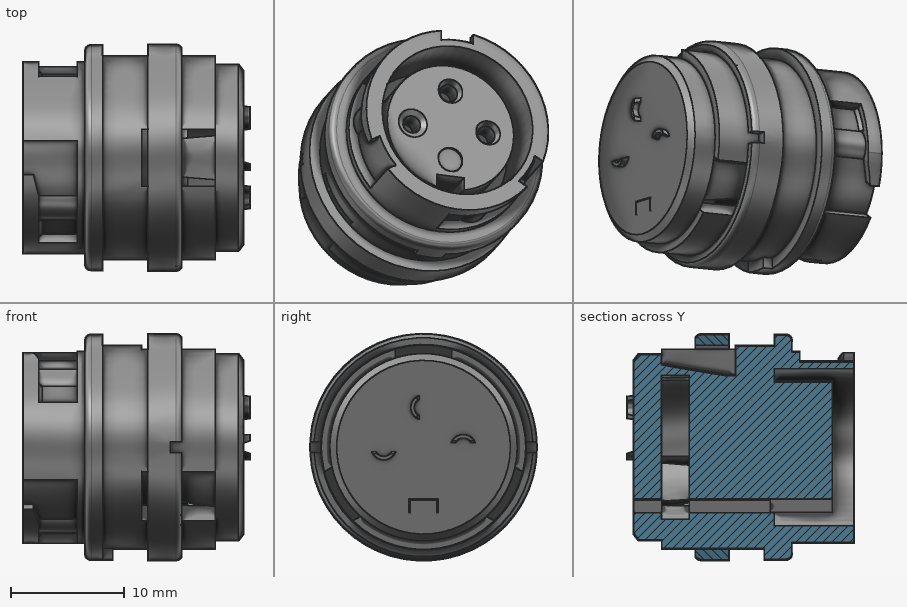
import cadquery as cq
import math

TOP = 90
STATIONS = [TOP, TOP + 120, TOP + 240]

GROOVE_FRONT_X = 1.4
GROOVE_REAR_X = 4.78
FLANGE_FRONT_X = 5.45
FLANGE_REAR_X = 7.02
WINDOW_FRONT_X = 10.45
NUT_FRONT_X = 11.0
NUT_REAR_X = 14.0
SHELL_REAR_X = 16.95
CAP_REAR_X = 19.45
OVERALL_LENGTH = 20.0

BARREL_R = 16.95 / 2
FLANGE_R = 19.9 / 2
FLANGE_FILLET = 0.55
THREAD_R = 18.0 / 2
BORE_R = 14.0 / 2
BORE_DEPTH = FLANGE_REAR_X
LUG_LENGTH = 0.9
LUG_WIDTH = 2.6

GROOVE_FLOOR_R = 7.62
ENTRY_WIDTH = 2.98
LEAD_IN_X = 0.92
LEAD_IN_END_ANGLE = 23.4
GROOVE_END_ANGLE = 62.0
DETENT_R = 1.72
DETENT_PEAK_R = 8.05
DETENT_ANGLE = 35.6
CORNER_CHAMFER = 0.3
CHAMFER_START_ANGLE = 45.2

WINDOW_WIDTH = 5.0
WINDOW_FLOOR_R = 6.42
CHAMBER_FRONT_X = 14.52
LATCH_FRONT_X = 11.2
LATCH_FRONT_R = WINDOW_FLOOR_R
LATCH_REAR_R = 7.38
LATCH_FRONT_WIDTH = 2.95
LATCH_REAR_WIDTH = 3.88

INSERT_R = 11.75 / 2
INSERT_FRONT_X = 1.9
CAP_R = 16.5 / 2
CAP_CHAMFER_LENGTH = 0.45
CAP_CHAMFER_DEPTH = 0.6
CONTACT_CIRCLE_R = 3.5
CONTACT_HOLE_R = 1.6 / 2
CONTACT_HOLE_DEPTH = 2.4
COUNTERSINK = (2.25 / 2, 0.52)
WIDE_COUNTERSINK = (2.65 / 2, 0.32)
CONTACTS = [(0, WIDE_COUNTERSINK), (90, COUNTERSINK), (180, COUNTERSINK)]
PAD_R = 2.25 / 2
PAD_DEPTH = 0.2
PAD_Z = -3.0
KEYWAY_WIDTH = 2.52
KEYWAY_TOP_Z = -4.58
KEY_GAP = 0.08
KEY_FRONT_X = 7.4

CUP_R = 2.25 / 2
CUP_BORE_R = 1.6 / 2
CUP_EDGE_FRONT = 0.38
CUP_EDGE_REAR = 0.55

NUT_R = 20.0 / 2
NUT_BORE_R = 18.1 / 2
NUT_ROUND_LENGTH = 0.55
NUT_ROUND_DROP = 0.35
NOTCH_WIDTH = 1.0
NOTCH_LENGTH = 1.05


def turn(shape, angle):
    """Rotate a shape about the connector axis."""
    return shape.rotate((0, 0, 0), (1, 0, 0), angle)


def disc(radius, x_front, x_rear, y=0.0, z=0.0):
    """Cylinder parallel to X, with its axis at (y, z)."""
    return cq.Workplane("YZ", origin=(x_front, 0, 0)).center(y, z).circle(radius).extrude(x_rear - x_front)


def block(x_front, x_rear, width, z_low, z_high):
    """Box centred on y = 0."""
    length = x_rear - x_front
    return cq.Workplane("XY", origin=(x_front, 0, z_low)).box(
        length, width, z_high - z_low, centered=(False, True, False)
    )


def swept_sector(profile, start_angle, end_angle):
    """Revolve an (x, radius) profile about X between two angles."""
    sector = cq.Workplane("XY").polyline(profile).close()
    sector = sector.revolve(end_angle - start_angle, (0, 0, 0), (1, 0, 0))
    return turn(sector, start_angle)


def on_circle(radius, angle):
    return radius * math.cos(math.radians(angle)), radius * math.sin(math.radians(angle))


def shell_blank():
    barrel = disc(BARREL_R, 0, FLANGE_REAR_X)
    flange = disc(FLANGE_R, FLANGE_FRONT_X, FLANGE_REAR_X).faces("<X").edges().fillet(FLANGE_FILLET)
    thread = disc(THREAD_R, FLANGE_REAR_X, SHELL_REAR_X)
    lug_rear = FLANGE_REAR_X + LUG_LENGTH
    lug = disc(FLANGE_R, FLANGE_REAR_X, lug_rear).intersect(
        block(FLANGE_REAR_X, lug_rear, LUG_WIDTH, -FLANGE_R, 0)
    )
    return barrel.union(flange).union(thread).union(lug)


def bayonet_groove():
    """Cutter for the top groove: straight entry, sloped lead-in, then a run to the end stop."""
    entry = block(0, GROOVE_REAR_X, ENTRY_WIDTH, 0, FLANGE_R)
    lead_in_y = on_circle(BARREL_R, TOP + LEAD_IN_END_ANGLE)[0]
    lead_in = (
        cq.Workplane("XY")
        .polyline([
            (LEAD_IN_X, -ENTRY_WIDTH / 2),
            (GROOVE_FRONT_X, lead_in_y),
            (GROOVE_REAR_X, lead_in_y),
            (GROOVE_REAR_X, -ENTRY_WIDTH / 2),
        ])
        .close()
        .extrude(FLANGE_R)
    )
    run = swept_sector(
        [(GROOVE_FRONT_X, 0), (GROOVE_REAR_X, 0), (GROOVE_REAR_X, FLANGE_R), (GROOVE_FRONT_X, FLANGE_R)],
        TOP,
        TOP + GROOVE_END_ANGLE,
    )
    detent_y, detent_z = on_circle(DETENT_PEAK_R - DETENT_R, TOP + DETENT_ANGLE)
    detent = disc(DETENT_R, 0, GROOVE_REAR_X, detent_y, detent_z)
    corner = swept_sector(
        [
            (GROOVE_FRONT_X, GROOVE_FLOOR_R),
            (GROOVE_FRONT_X + CORNER_CHAMFER, GROOVE_FLOOR_R),
            (GROOVE_FRONT_X, GROOVE_FLOOR_R + CORNER_CHAMFER),
        ],
        TOP + CHAMFER_START_ANGLE,
        TOP + GROOVE_END_ANGLE,
    )
    core = disc(GROOVE_FLOOR_R, 0, GROOVE_REAR_X)
    return entry.union(lead_in).union(run).cut(core).cut(detent).cut(corner)


def latch():
    """Top latch: a cone that rises toward the cap, trimmed to a widening tongue."""
    cone = swept_sector(
        [(LATCH_FRONT_X, 0), (SHELL_REAR_X, 0), (SHELL_REAR_X, LATCH_REAR_R), (LATCH_FRONT_X, LATCH_FRONT_R)],
        0,
        360,
    )
    tongue = (
        cq.Workplane("XY")
        .polyline([
            (LATCH_FRONT_X, -LATCH_FRONT_WIDTH / 2),
            (SHELL_REAR_X, -LATCH_REAR_WIDTH / 2),
            (SHELL_REAR_X, LATCH_REAR_WIDTH / 2),
            (LATCH_FRONT_X, LATCH_FRONT_WIDTH / 2),
        ])
        .close()
        .extrude(THREAD_R)
    )
    return cone.intersect(tongue)


def latch_window():
    """Cutter for the top window, which leaves the latch standing and breaks into the chamber."""
    window = block(WINDOW_FRONT_X, SHELL_REAR_X, WINDOW_WIDTH, 0, FLANGE_R)
    floor = disc(WINDOW_FLOOR_R, WINDOW_FRONT_X, SHELL_REAR_X)
    return window.cut(floor).cut(latch())


def contact_hole(angle, countersink):
    """Cutter for one countersunk contact hole in the insert face."""
    mouth_r, countersink_depth = countersink
    profile = [
        (0, 0),
        (0, mouth_r),
        (countersink_depth, CONTACT_HOLE_R),
        (CONTACT_HOLE_DEPTH, CONTACT_HOLE_R),
        (CONTACT_HOLE_DEPTH, 0),
    ]
    y, z = on_circle(CONTACT_CIRCLE_R, angle)
    return swept_sector(profile, 0, 360).translate((INSERT_FRONT_X, y, z))


def solder_cup(angle):
    """Less than half of a tube, cut along a slanted plane."""
    tube = disc(CUP_R, CAP_REAR_X, OVERALL_LENGTH).cut(disc(CUP_BORE_R, CAP_REAR_X, OVERALL_LENGTH))
    kept_side = (
        cq.Workplane("XZ", origin=(0, CUP_R, 0))
        .polyline([
            (CAP_REAR_X, CUP_EDGE_FRONT),
            (OVERALL_LENGTH, CUP_EDGE_REAR),
            (OVERALL_LENGTH, CUP_R),
            (CAP_REAR_X, CUP_R),
        ])
        .close()
        .extrude(2 * CUP_R)
    )
    return turn(tube.intersect(kept_side).translate((0, CONTACT_CIRCLE_R, 0)), angle)


def keyway_gap():
    """Cutter for the open front of the keyway and the clearance around the key behind it."""
    keyway = block(INSERT_FRONT_X, CAP_REAR_X, KEYWAY_WIDTH, -INSERT_R, KEYWAY_TOP_Z)
    key = block(KEY_FRONT_X, CAP_REAR_X, KEYWAY_WIDTH - 2 * KEY_GAP, -INSERT_R, KEYWAY_TOP_Z - KEY_GAP)
    return keyway.cut(key).intersect(disc(INSERT_R, INSERT_FRONT_X, CAP_REAR_X))


def rear_cap():
    chamfer_x = CAP_REAR_X - CAP_CHAMFER_LENGTH
    return swept_sector(
        [
            (SHELL_REAR_X, 0),
            (SHELL_REAR_X, CAP_R),
            (chamfer_x, CAP_R),
            (CAP_REAR_X, CAP_R - CAP_CHAMFER_DEPTH),
            (CAP_REAR_X, 0),
        ],
        0,
        360,
    )


def make_connector():
    """Shell, insert and contacts as one solid."""
    body = shell_blank()
    body = body.cut(disc(BORE_R, 0, BORE_DEPTH))
    body = body.union(disc(INSERT_R, INSERT_FRONT_X, BORE_DEPTH))
    groove = bayonet_groove()
    window = latch_window()
    for station in STATIONS:
        body = body.cut(turn(groove, station - TOP))
        body = body.cut(turn(window, station - TOP))
    body = body.cut(disc(WINDOW_FLOOR_R, CHAMBER_FRONT_X, SHELL_REAR_X))
    body = body.union(rear_cap())
    body = body.cut(keyway_gap())
    body = body.cut(disc(PAD_R, INSERT_FRONT_X, INSERT_FRONT_X + PAD_DEPTH, 0, PAD_Z))
    for angle, countersink in CONTACTS:
        body = body.cut(contact_hole(angle, countersink))
        body = body.union(solder_cup(angle))
    return body


def make_ring_nut():
    """Plain ring with a rounded rear edge and two opposite spanner notches."""
    nut = (
        cq.Workplane("XY")
        .moveTo(NUT_FRONT_X, NUT_BORE_R)
        .lineTo(NUT_FRONT_X, NUT_R)
        .lineTo(NUT_REAR_X - NUT_ROUND_LENGTH, NUT_R)
        .tangentArcPoint((NUT_REAR_X, NUT_R - NUT_ROUND_DROP), relative=False)
        .lineTo(NUT_REAR_X, NUT_BORE_R)
        .close()
        .revolve(360, (0, 0, 0), (1, 0, 0))
    )
    notch_front_x = NUT_REAR_X - NOTCH_LENGTH
    notches = turn(block(notch_front_x, NUT_REAR_X, NOTCH_WIDTH, -NUT_R, NUT_R), 90)
    return nut.cut(notches)


connector = make_connector()
ring_nut = make_ring_nut()

result = cq.Compound.makeCompound([connector.solids().val(), ring_nut.solids().val()])